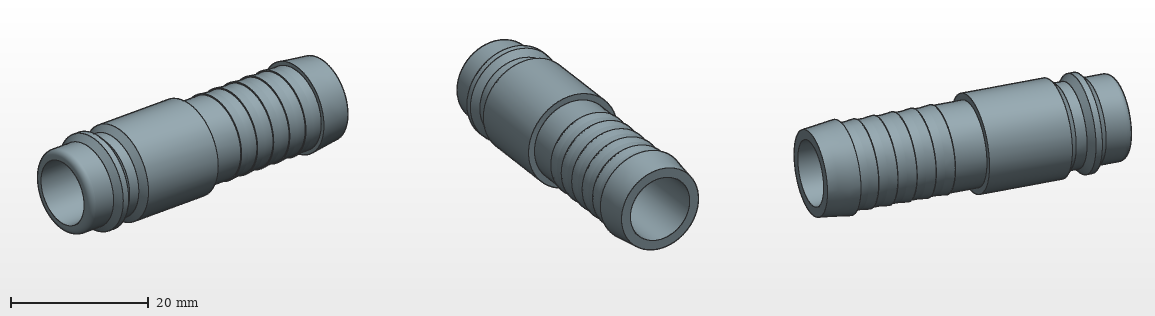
import cadquery as cq

total_length = 48.0
bore_radius = 5.0
tube_radius = 6.5
collar_radius = 7.5

nose_fillet = 1.0
bevel = collar_radius - tube_radius
ring_start = 4.3
ring_land = 1.0

collar_start = 9.0
collar_end = 23.0

barb_taper = 0.125

barb_count = 5
barb_start = 28.0
barb_length = 1.5
barb_pitch = 3.0

head_length = 5.0


def revolve_about_y(profile):
    """Spin a closed (radius, Y) profile one full turn about the Y axis."""
    return profile.close().revolve(360, (0, 0, 0), (0, 1, 0))


def make_tube():
    tube = cq.Workplane("XZ").circle(tube_radius).extrude(-total_length)
    return tube.faces("<Y").edges().fillet(nose_fillet)


def make_ring():
    """Locking ring with a bevel on both sides of its land."""
    land_start = ring_start + bevel
    land_end = land_start + ring_land
    return revolve_about_y(
        cq.Workplane("XY")
        .moveTo(0, ring_start)
        .lineTo(tube_radius, ring_start)
        .lineTo(collar_radius, land_start)
        .lineTo(collar_radius, land_end)
        .lineTo(tube_radius, land_end + bevel)
        .lineTo(0, land_end + bevel)
    )


def make_collar():
    """Plain collar, bevelled only on the side facing the ring."""
    return revolve_about_y(
        cq.Workplane("XY")
        .moveTo(0, collar_start)
        .lineTo(tube_radius, collar_start)
        .lineTo(collar_radius, collar_start + bevel)
        .lineTo(collar_radius, collar_end)
        .lineTo(0, collar_end)
    )


def make_barb(start, length):
    """Cone with a square shoulder at `start`, tapering to the tube radius towards +Y."""
    large_radius = tube_radius + barb_taper * length
    return revolve_about_y(
        cq.Workplane("XY")
        .moveTo(0, start)
        .lineTo(large_radius, start)
        .lineTo(tube_radius, start + length)
        .lineTo(0, start + length)
    )


body = make_tube().union(make_ring()).union(make_collar())
for index in range(barb_count):
    start = barb_start + index * barb_pitch
    barb = make_barb(start, barb_length)
    body = body.union(barb)
body = body.union(make_barb(total_length - head_length, head_length))

bore = cq.Workplane("XZ").circle(bore_radius).extrude(-total_length)
result = body.cut(bore)